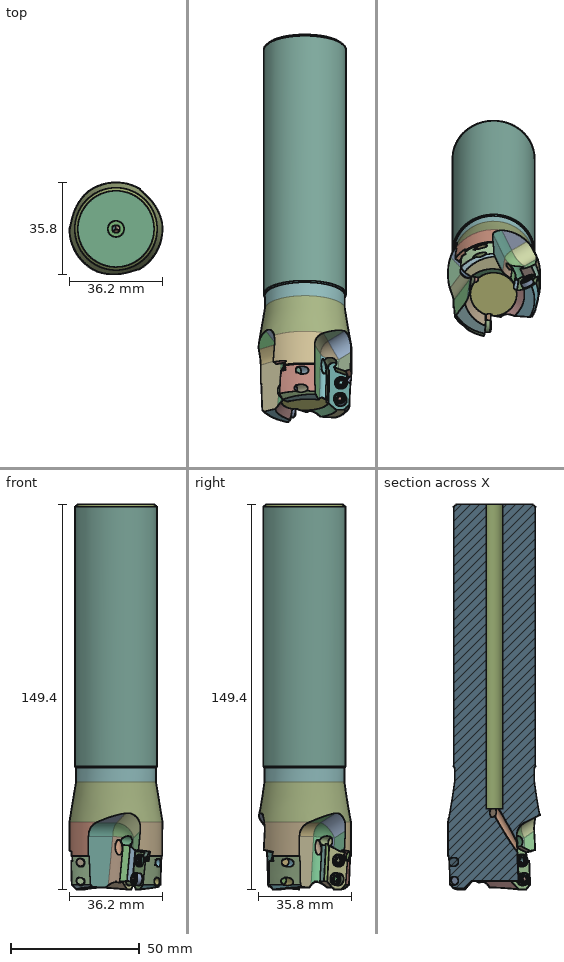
import cadquery as cq
import math


length = 149.4
shank_radius = 16.0
top_chamfer_radial = 1.2
top_chamfer_height = 1.0
shoulder_z = 47.8
shoulder_chamfer_height = 0.6
neck_radius = 15.5
neck_bottom_z = 41.8
head_radius = 18.1
cone_bottom_z = 26.3
relief_top_z = 12.9
relief_radius = 17.8
tip_radius = 17.3
tip_chamfer = 2.0
dish_rim_radius = 12.3
dish_depth = 3.3
clearance_angle = 5.0

bore_radius = 3.1
bore_bottom_z = 31.4
channel_radius = 1.3
channel_exit = cq.Vector(-3.7, -8.8, 15.0)
channel_overrun = 1.1

tooth_count = 3
first_tooth_angle = 30.0
rake_angle = 6.0
flute_floor = 7.3
flute_floor_top_z = 20.8
flute_radius = 6.0
flute_top_slope = 30.0
wall_depth = -2.0
reach = 29.9

seat_depth = 2.0
seat_open = 9.0
seat_ledge = 9.0
seat_top_z = 18.0
seat_end_slope = 24.0
corner_groove_radius = 1.3
corner_groove_inset = 0.6
end_relief_radius = 2.1
end_relief_offset = 10.5
end_relief_z = 18.5
rim_relief_radius = 2.0
rim_relief_offset = 17.6
rim_relief_z = 13.3
rim_relief_depth = 3.7

screw_offset = 13.7
screw_heights = (4.2, 11.5)
head_sinks = (0.1, 1.3)
screw_head_radius = 2.4
screw_head_height = 2.7
thread_radius = 1.57
thread_length = 4.5
head_chamfer = 0.5
socket_depth = 1.2
socket_radius = 1.0
lobe_count = 6
lobe_radius = 0.37


def box_between(low, high):
    size = [high[i] - low[i] for i in range(3)]
    return cq.Workplane("XY").box(*size, centered=False).translate(low)


def raked(shape):
    """Lean a tooth feature about the tooth's outward axis by the axial rake."""
    return shape.rotate((0, 0, 0), (0, 1, 0), rake_angle)


def at_tooth(shape, index):
    angle = first_tooth_angle + index * 360.0 / tooth_count
    return shape.rotate((0, 0, 0), (0, 0, 1), angle)


def rod(radius, start_depth, end_depth, offset, height):
    """Cylinder along the depth direction of a tooth."""
    return (
        cq.Workplane("YZ", origin=(start_depth, -offset, height))
        .circle(radius)
        .extrude(end_depth - start_depth)
    )


def make_blank():
    return (
        cq.Workplane("XZ")
        .moveTo(0, 0)
        .lineTo(tip_radius - tip_chamfer, 0)
        .lineTo(tip_radius, tip_chamfer)
        .lineTo(relief_radius, relief_top_z)
        .lineTo(head_radius, relief_top_z + (head_radius - relief_radius))
        .lineTo(head_radius, cone_bottom_z)
        .lineTo(neck_radius, neck_bottom_z)
        .lineTo(neck_radius, shoulder_z - shoulder_chamfer_height)
        .lineTo(shank_radius, shoulder_z)
        .lineTo(shank_radius, length - top_chamfer_height)
        .lineTo(shank_radius - top_chamfer_radial, length)
        .lineTo(0, length)
        .close()
        .revolve(360, (0, 0, 0), (0, 1, 0))
    )


def make_end_dish():
    """Cone-walled recess in the bottom face."""
    return (
        cq.Workplane("XY")
        .circle(dish_rim_radius)
        .workplane(offset=dish_depth)
        .circle(dish_rim_radius - dish_depth)
        .loft(ruled=True)
    )


def make_bore():
    return (
        cq.Workplane("XY", origin=(0, 0, bore_bottom_z))
        .circle(bore_radius)
        .extrude(length - bore_bottom_z)
    )


def make_coolant_channel():
    start = cq.Vector(0, 0, bore_bottom_z)
    run = channel_exit - start
    return cq.Workplane(
        cq.Solid.makeCylinder(channel_radius, run.Length * channel_overrun, start, run.normalized())
    )


def make_flute():
    """Rounded L-shaped chip space: flat floor, sloping end above it, raked wall beside it."""
    turn = math.radians(90 - flute_top_slope)
    corner_z = flute_floor_top_z + flute_radius * math.tan(turn / 2)
    end_z = corner_z + (reach - flute_floor) * math.tan(math.radians(flute_top_slope))
    prism = (
        cq.Workplane("YZ", origin=(-reach, 0, 0))
        .moveTo(-flute_floor, -reach)
        .lineTo(-flute_floor, corner_z)
        .lineTo(-reach, end_z)
        .lineTo(-reach, -reach)
        .close()
        .extrude(2 * reach)
    )
    wall_side = raked(
        box_between((-3 * reach, -2 * reach, -2 * reach), (wall_depth, 2 * reach, 2 * reach))
    )
    flute = prism.intersect(wall_side)
    inner_edges = cq.selectors.BoxSelector(
        (1.5 - reach, 1.5 - reach, 1.5 - reach), (reach, reach, 2 * reach)
    )
    return flute.edges(inner_edges).fillet(flute_radius)


def make_insert_seat():
    """Seat for the inserts in the flute wall, with relief grooves along its ledge and its end."""
    end_drop = (reach - seat_ledge) * math.tan(math.radians(seat_end_slope))
    seat = (
        cq.Workplane("YZ", origin=(-seat_open, 0, 0))
        .moveTo(-seat_ledge, -reach)
        .lineTo(-seat_ledge, seat_top_z)
        .lineTo(-reach, seat_top_z - end_drop)
        .lineTo(-reach, -reach)
        .close()
        .extrude(seat_open + seat_depth)
    )
    corner_groove = (
        cq.Workplane("XY", origin=(0, 0, -reach))
        .center(seat_depth - corner_groove_radius, -seat_ledge - corner_groove_inset)
        .circle(corner_groove_radius)
        .extrude(reach + seat_top_z)
    )
    end_relief = rod(end_relief_radius, -seat_open, seat_depth, end_relief_offset, end_relief_z)
    rim_relief = rod(rim_relief_radius, -seat_open, rim_relief_depth, rim_relief_offset, rim_relief_z)
    return raked(seat.union(corner_groove).union(end_relief).union(rim_relief))


def make_end_clearance():
    """Wedge that lifts the end face of a tooth away from its cutting corner."""
    rise = reach * math.tan(math.radians(clearance_angle))
    return (
        cq.Workplane("XZ")
        .moveTo(seat_depth, 0)
        .lineTo(reach, rise)
        .lineTo(reach, -rise)
        .lineTo(seat_depth, -rise)
        .close()
        .extrude(reach)
    )


def head_base(sink):
    return seat_depth + sink


def make_screw_holes():
    """Through holes that leave at the back of the tooth, with a recess for each screw head."""
    holes = cq.Workplane("XY")
    for height, sink in zip(screw_heights, head_sinks):
        recess = rod(screw_head_radius, -seat_open, head_base(sink), screw_offset, height)
        hole = rod(thread_radius, 0, reach, screw_offset, height)
        holes = holes.union(recess).union(hole)
    return raked(holes)


def make_socket(face_depth, height):
    """Six-lobed driving socket in a screw head."""
    end_depth = face_depth + socket_depth
    socket = rod(socket_radius, face_depth, end_depth, screw_offset, height)
    for lobe in range(lobe_count):
        angle = math.radians(lobe * 360.0 / lobe_count)
        lobe_offset = screw_offset + socket_radius * math.cos(angle)
        lobe_height = height + socket_radius * math.sin(angle)
        socket = socket.union(rod(lobe_radius, face_depth, end_depth, lobe_offset, lobe_height))
    return socket


def make_screw(height, sink):
    base = head_base(sink)
    face_depth = base - screw_head_height
    head = rod(screw_head_radius, face_depth, base, screw_offset, height)
    head = head.faces("<X").edges().chamfer(head_chamfer)
    thread = rod(thread_radius, base, base + thread_length, screw_offset, height)
    return raked(head.union(thread).cut(make_socket(face_depth, height)))


def make_body():
    body = make_blank().cut(make_end_dish()).cut(make_bore())
    tooth_features = (
        make_flute(),
        make_insert_seat(),
        make_screw_holes(),
        make_coolant_channel(),
        make_end_clearance(),
    )
    for feature in tooth_features:
        for index in range(tooth_count):
            body = body.cut(at_tooth(feature, index))
    return body


body = make_body()
screws = [
    at_tooth(make_screw(height, sink), index).val()
    for index in range(tooth_count)
    for height, sink in zip(screw_heights, head_sinks)
]
result = cq.Compound.makeCompound([body.val(), *screws])